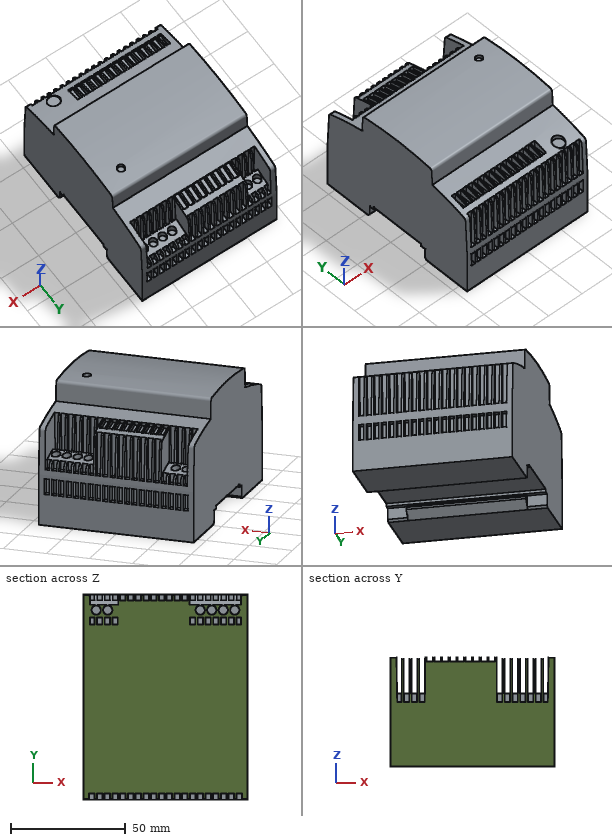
import cadquery as cq
import math

WIDTH = 72.0
DEPTH = 90.0
HEIGHT = 60.8

SEAM_EDGE_Z = 23.4
SEAM_CROWN_Z = 32.4
WALL_LEAN = 0.05
WALL_TOP_Z = 54.0

SHOULDER_CROWN_Z = 51.9
SHOULDER_RADIUS = 135.0
SHOULDER_FILLET = 2.0
DOME_RADIUS = 162.0
DOME_FOOT_HALF = 22.6
DOME_FOOT_Z = 49.95
DOME_TOP_HALF = 22.1
DOME_FILLET = 1.5

RAIL_HALF = 15.3
RAIL_ROOF_Z = 7.6
RAIL_STEP_Z = 6.2
RAIL_THROAT_HALF = 17.8
RAIL_MOUTH_HALF = 18.7
RAIL_CHAMFER_Z = 1.1
HOOK_LENGTH = 54.0
HOOK_TIP_Z = 4.0
HOOK_TIP_TOP_Z = 4.95
HOOK_TOP_Z = 5.1
HOOK_TIP_BEVEL = 0.3
HOOK_ROOT_HALF = 17.0

SLOT_COUNT = 20
SLOT_PITCH = 3.39
SLOT_WIDTH = 2.25
SLOT_TOP_WIDTH = 2.5
SLOT_BACK_Y = 42.3
LOW_SLOT_Z = (14.4, 21.6)
HIGH_SLOT_Z = (25.8, 48.6)
SHOULDER_SLOT_Y = (31.9, 39.15)
FRONT_SHOULDER_SLOTS = range(0, 15)
REAR_SHOULDER_SLOTS = range(4, 13)
SLOT_FIELD_HALF = 32.9
FRONT_SHOULDER_SLOT_FLOOR_Z = 44.3
REAR_SHOULDER_SLOT_DEPTH = 1.8

POCKET_OUTER_X = 33.3
POCKET_WALL_INSET = 10.3
TERMINAL_DROP = 15.3
POCKET_DRAFT_Z = 29.7
POCKET_SLOT_FLOOR_Z = 28.35
SCREW_DIAMETER = 4.0
SCREW_Y = 38.1
SCREW_PITCH = 5.0
SCREW_OUTER_X = 30.3
LEFT_SCREWS = 2
RIGHT_SCREWS = 4

RECESS_X = 24.9
FRONT_RECESS_Y = -38.2
FRONT_RECESS_DIAMETER = 6.3
FRONT_RECESS_FLOOR_Z = 45.1
DOME_RECESS_Y = 13.05
DOME_RECESS_DIAMETER = 3.7
DOME_RECESS_FLOOR_Z = 58.5

HALF_DEPTH = DEPTH / 2
CLEAR = 4.5


def sag(radius, offset):
    """Drop of a crowned surface at a distance from its centre line."""
    return radius - math.sqrt(radius**2 - offset**2)


def along_x(draw_outline, length=WIDTH):
    """Extrude a closed YZ outline along X, centred on the part."""
    return draw_outline(cq.Workplane("YZ")).extrude(length / 2, both=True)


def box(x_range, y_range, z_range):
    """Axis-aligned box from its limits."""
    size = [hi - lo for lo, hi in (x_range, y_range, z_range)]
    corner = (x_range[0], y_range[0], z_range[0])
    return cq.Workplane("XY").box(*size, centered=False).translate(corner)


def slot_x(index):
    """Centre of a slot in the shared pitch, counted from the left."""
    return (index - (SLOT_COUNT - 1) / 2) * SLOT_PITCH


def shoulder_block(wall_inset=0.0, drop=0.0):
    """Full-width block with leaning walls, a crowned top and filleted top edges."""
    foot = HALF_DEPTH - wall_inset
    top = foot - WALL_LEAN * (WALL_TOP_Z - SEAM_EDGE_Z)
    points = [
        (-foot, 0),
        (foot, 0),
        (foot, SEAM_EDGE_Z),
        (top, WALL_TOP_Z),
        (-top, WALL_TOP_Z),
        (-foot, SEAM_EDGE_Z),
    ]
    crown_axis_z = SHOULDER_CROWN_Z - drop - SHOULDER_RADIUS
    walls = along_x(lambda plane: plane.polyline(points).close())
    crown = along_x(lambda plane: plane.moveTo(0, crown_axis_z).circle(SHOULDER_RADIUS))
    return walls.intersect(crown).faces(">Z").edges("|X").fillet(SHOULDER_FILLET)


def dome_block():
    """Raised centre block with a crowned top, reaching down into the shoulder block."""
    edge_z = HEIGHT - sag(DOME_RADIUS, DOME_TOP_HALF)

    def outline(plane):
        return (
            plane.moveTo(-DOME_FOOT_HALF, SEAM_CROWN_Z)
            .lineTo(DOME_FOOT_HALF, SEAM_CROWN_Z)
            .lineTo(DOME_FOOT_HALF, DOME_FOOT_Z)
            .lineTo(DOME_TOP_HALF, edge_z)
            .threePointArc((0, HEIGHT), (-DOME_TOP_HALF, edge_z))
            .lineTo(-DOME_FOOT_HALF, DOME_FOOT_Z)
            .close()
        )

    block = along_x(outline)
    return block.faces(">Z").edges("|X").fillet(DOME_FILLET)


def rail_slot():
    """Stepped channel along X with a chamfered mouth."""
    half = [
        (RAIL_MOUTH_HALF, 0),
        (RAIL_THROAT_HALF, RAIL_CHAMFER_Z),
        (RAIL_THROAT_HALF, RAIL_STEP_Z),
        (RAIL_HALF, RAIL_STEP_Z),
        (RAIL_HALF, RAIL_ROOF_Z),
    ]
    mirrored = [(-y, z) for y, z in reversed(half)]
    return along_x(lambda plane: plane.polyline(half + mirrored).close())


def rail_hook():
    """Hook in the middle of the width that narrows the rail slot from the rear side."""
    points = [
        (RAIL_MOUTH_HALF, 0),
        (RAIL_HALF, HOOK_TIP_Z),
        (RAIL_HALF, HOOK_TIP_TOP_Z),
        (RAIL_HALF + HOOK_TIP_BEVEL, HOOK_TOP_Z),
        (HOOK_ROOT_HALF, HOOK_TOP_Z),
        (HOOK_ROOT_HALF, RAIL_STEP_Z),
        (RAIL_MOUTH_HALF, RAIL_STEP_Z),
    ]
    return along_x(lambda plane: plane.polyline(points).close(), HOOK_LENGTH)


def wall_slots(indices, y_range, z_range, top_width):
    """Upright slots running along Y, as wide as top_width at their upper end."""
    bottom_z, top_z = z_range
    slots = cq.Workplane("XY")
    for index in indices:
        x = slot_x(index)
        points = [
            (x - SLOT_WIDTH / 2, bottom_z),
            (x + SLOT_WIDTH / 2, bottom_z),
            (x + top_width / 2, top_z),
            (x - top_width / 2, top_z),
        ]
        plane = cq.Workplane("XZ", origin=(0, y_range[0], 0))
        slots = slots.add(plane.polyline(points).close().extrude(y_range[0] - y_range[1]))
    return slots.combine()


def front_shoulder_slots():
    """Slots with a level floor cut straight down through the front shoulder."""
    near, far = SHOULDER_SLOT_Y
    slots = cq.Workplane("XY")
    for index in FRONT_SHOULDER_SLOTS:
        x_range = (slot_x(index) - SLOT_TOP_WIDTH / 2, slot_x(index) + SLOT_TOP_WIDTH / 2)
        slots = slots.add(box(x_range, (-far, -near), (FRONT_SHOULDER_SLOT_FLOOR_Z, HEIGHT)))
    return slots.combine()


def rear_shoulder_slots():
    """Shallow slots sunk square to the sloping shoulder."""
    near, far = SHOULDER_SLOT_Y
    middle = (near + far) / 2
    slope = math.asin(middle / SHOULDER_RADIUS)
    surface_z = SHOULDER_CROWN_Z - sag(SHOULDER_RADIUS, middle)
    slots = cq.Workplane("XY")
    for index in REAR_SHOULDER_SLOTS:
        cutter = cq.Workplane("XY").box(
            SLOT_TOP_WIDTH, (far - near) / math.cos(slope), 2 * REAR_SHOULDER_SLOT_DEPTH
        )
        cutter = cutter.rotate((0, 0, 0), (1, 0, 0), -math.degrees(slope))
        slots = slots.add(cutter.translate((slot_x(index), middle, surface_z)))
    return slots.combine()


def pocket_space(inner_x, side):
    """Space over one pocket; its outer end wall leans out towards the top."""
    points = [
        (inner_x, HIGH_SLOT_Z[0]),
        (side * SLOT_FIELD_HALF, HIGH_SLOT_Z[0]),
        (side * SLOT_FIELD_HALF, POCKET_DRAFT_Z),
        (side * POCKET_OUTER_X, SHOULDER_CROWN_Z),
        (inner_x, SHOULDER_CROWN_Z),
    ]
    plane = cq.Workplane("XZ", origin=(0, SHOULDER_SLOT_Y[0], 0))
    return plane.polyline(points).close().extrude(-HALF_DEPTH)


def terminal_pocket(inner_x, side, slot_indices):
    """Pocket void: above the lowered terminals, behind a slotted and recessed wall."""
    space = pocket_space(inner_x, side)
    void = space.cut(shoulder_block(wall_inset=POCKET_WALL_INSET)).cut(shoulder_block(drop=TERMINAL_DROP))
    slot_y = (SHOULDER_SLOT_Y[0], HALF_DEPTH - POCKET_WALL_INSET)
    slots = wall_slots(slot_indices, slot_y, (POCKET_SLOT_FLOOR_Z, HIGH_SLOT_Z[1]), SLOT_TOP_WIDTH)
    return void.union(slots.intersect(space))


def round_recess(x, y, diameter, floor_z):
    """Flat-bottomed round hole, open upwards."""
    plane = cq.Workplane("XY", origin=(x, y, floor_z))
    return plane.circle(diameter / 2).extrude(HEIGHT)


def base_zone():
    """Everything below the arched seam between base and cover."""

    def outline(plane):
        return (
            plane.moveTo(-HALF_DEPTH, 0)
            .lineTo(HALF_DEPTH, 0)
            .lineTo(HALF_DEPTH, SEAM_EDGE_Z)
            .threePointArc((0, SEAM_CROWN_Z), (-HALF_DEPTH, SEAM_EDGE_Z))
            .close()
        )

    return along_x(outline)


body = shoulder_block().union(dome_block()).cut(rail_slot())

hook = rail_hook()
body = body.union(hook).union(hook.mirror("XZ"))

all_slots = range(SLOT_COUNT)
low_slots = wall_slots(all_slots, (SLOT_BACK_Y, HALF_DEPTH + CLEAR), LOW_SLOT_Z, SLOT_WIDTH)
high_slots = wall_slots(all_slots, (SLOT_BACK_Y, HALF_DEPTH + CLEAR), HIGH_SLOT_Z, SLOT_TOP_WIDTH)
slot_field = box((-SLOT_FIELD_HALF, SLOT_FIELD_HALF), (-DEPTH, DEPTH), (0, HEIGHT))
body = body.cut(low_slots).cut(low_slots.mirror("XZ"))
body = body.cut(high_slots.mirror("XZ")).cut(high_slots.intersect(slot_field))
body = body.cut(front_shoulder_slots().intersect(slot_field)).cut(rear_shoulder_slots())

left_slots = range(0, REAR_SHOULDER_SLOTS.start)
right_slots = range(REAR_SHOULDER_SLOTS.stop, SLOT_COUNT)
left_inner_x = slot_x(left_slots[-1]) + SLOT_TOP_WIDTH / 2
right_inner_x = slot_x(right_slots[0]) - SLOT_TOP_WIDTH / 2
body = body.cut(terminal_pocket(left_inner_x, -1, left_slots))
body = body.cut(terminal_pocket(right_inner_x, 1, right_slots))

left_screws = [-SCREW_OUTER_X + i * SCREW_PITCH for i in range(LEFT_SCREWS)]
right_screws = [SCREW_OUTER_X - i * SCREW_PITCH for i in range(RIGHT_SCREWS)]
for x in left_screws + right_screws:
    body = body.cut(round_recess(x, SCREW_Y, SCREW_DIAMETER, POCKET_SLOT_FLOOR_Z))

body = body.cut(round_recess(RECESS_X, FRONT_RECESS_Y, FRONT_RECESS_DIAMETER, FRONT_RECESS_FLOOR_Z))
body = body.cut(round_recess(RECESS_X, DOME_RECESS_Y, DOME_RECESS_DIAMETER, DOME_RECESS_FLOOR_Z))

base = body.intersect(base_zone())
cover = body.cut(base_zone())
result = base.union(cover, clean=False)